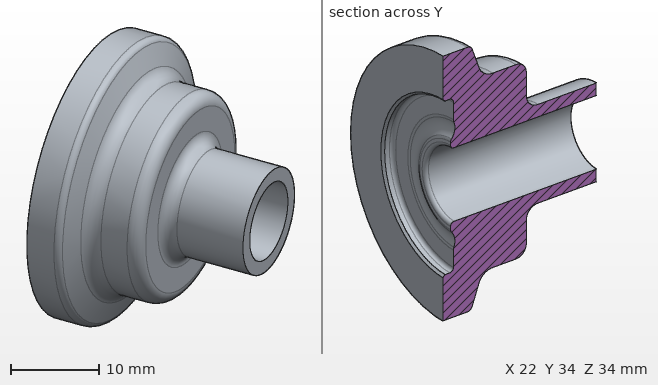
import cadquery as cq
import math

LENGTH = 22.0
FLANGE_RADIUS = 17.0
BOSS_RADIUS = 25.0 / 2
TUBE_RADIUS = 12.7 / 2
BORE_RADIUS = 9.4 / 2

FLANGE_RIM = 3.47
FLANGE_ROUND = 0.85
CONE_ANGLE = 20.0
CONE_FILLET = 2.0
BOSS_END = 12.0
BOSS_ROUND = 1.55
TUBE_FILLET = 1.6

RECESS_RADIUS = 22.2 / 2
RECESS_DEPTH = 1.5
RECESS_CHAMFER = 0.3
RECESS_FILLET = 0.5

GROOVE_CENTRE_RADIUS = 7.28
GROOVE_ARC = 2.0
GROOVE_BOTTOM = 1.7
OUTER_EDGE_ROUND = 1.0
LIP_EDGE_ROUND = 0.5
LIP_DEPTH = 1.1
BORE_ROUND = 0.5

TOUCH_TOLERANCE = 3.4e-07


def on_arc(centre, radius, degrees):
    """Point (x, r) on an arc; the angle runs from +X towards larger r."""
    angle = math.radians(degrees)
    return (centre[0] + radius * math.cos(angle), centre[1] + radius * math.sin(angle))


def add_arc(profile, centre, radius, start, end):
    """Draw a line to the start of an arc (if apart), then the arc itself."""
    first = on_arc(centre, radius, start)
    last = profile.val().endPoint()
    if math.dist((last.x, last.y), first) > TOUCH_TOLERANCE:
        profile = profile.lineTo(*first)
    return profile.threePointArc(
        on_arc(centre, radius, (start + end) / 2), on_arc(centre, radius, end)
    )


def add_outer_shape(profile):
    """Flange rim, conical back, boss and tube, from the flange face to the tube end."""
    rim_centre = (FLANGE_RIM, FLANGE_RADIUS - FLANGE_ROUND)
    rim_end = on_arc(rim_centre, FLANGE_ROUND, CONE_ANGLE)
    fillet_r = BOSS_RADIUS + CONE_FILLET
    cone_end_r = on_arc((0, fillet_r), CONE_FILLET, 180 + CONE_ANGLE)[1]
    cone_end_x = rim_end[0] + (rim_end[1] - cone_end_r) * math.tan(math.radians(CONE_ANGLE))
    fillet_x = cone_end_x + CONE_FILLET * math.cos(math.radians(CONE_ANGLE))

    profile = add_arc(profile, rim_centre, FLANGE_ROUND, 90, CONE_ANGLE)
    profile = add_arc(profile, (fillet_x, fillet_r), CONE_FILLET, 180 + CONE_ANGLE, 270)
    boss_centre = (BOSS_END - BOSS_ROUND, BOSS_RADIUS - BOSS_ROUND)
    profile = add_arc(profile, boss_centre, BOSS_ROUND, 90, 0)
    tube_centre = (BOSS_END + TUBE_FILLET, TUBE_RADIUS + TUBE_FILLET)
    profile = add_arc(profile, tube_centre, TUBE_FILLET, 180, 270)
    return profile.lineTo(LENGTH, TUBE_RADIUS)


def groove_side(face_depth, edge_round):
    """Slope angle where the groove meets an edge round, and the radial gap of their centres."""
    centre_distance = GROOVE_ARC + edge_round
    axial_gap = centre_distance - (GROOVE_BOTTOM - face_depth)
    slope = math.acos(axial_gap / centre_distance)
    return math.degrees(slope), centre_distance * math.sin(slope)


def add_recess(profile):
    """Bore edge, lip, ring groove and recess wall, from the bore to the flange face."""
    bore_centre = (LIP_DEPTH + BORE_ROUND, BORE_RADIUS + BORE_ROUND)
    profile = add_arc(profile, bore_centre, BORE_ROUND, 270, 180)

    lip_slope, lip_gap = groove_side(LIP_DEPTH, LIP_EDGE_ROUND)
    lip_centre = (LIP_DEPTH + LIP_EDGE_ROUND, GROOVE_CENTRE_RADIUS - lip_gap)
    profile = add_arc(profile, lip_centre, LIP_EDGE_ROUND, 180, 180 - lip_slope)

    outer_slope, outer_gap = groove_side(RECESS_DEPTH, OUTER_EDGE_ROUND)
    groove_centre = (GROOVE_BOTTOM - GROOVE_ARC, GROOVE_CENTRE_RADIUS)
    profile = add_arc(profile, groove_centre, GROOVE_ARC, -lip_slope, outer_slope)
    outer_centre = (RECESS_DEPTH + OUTER_EDGE_ROUND, GROOVE_CENTRE_RADIUS + outer_gap)
    profile = add_arc(profile, outer_centre, OUTER_EDGE_ROUND, 180 + outer_slope, 180)

    wall_centre = (RECESS_DEPTH - RECESS_FILLET, RECESS_RADIUS - RECESS_FILLET)
    profile = add_arc(profile, wall_centre, RECESS_FILLET, 0, 90)
    profile = profile.lineTo(RECESS_CHAMFER, RECESS_RADIUS)
    return profile.lineTo(0, RECESS_RADIUS + RECESS_CHAMFER)


section = cq.Workplane("XY").moveTo(0, RECESS_RADIUS + RECESS_CHAMFER)
section = section.lineTo(0, FLANGE_RADIUS)
section = add_outer_shape(section)
section = section.lineTo(LENGTH, BORE_RADIUS)
section = add_recess(section)

result = section.close().revolve(360, (0, 0, 0), (1, 0, 0))